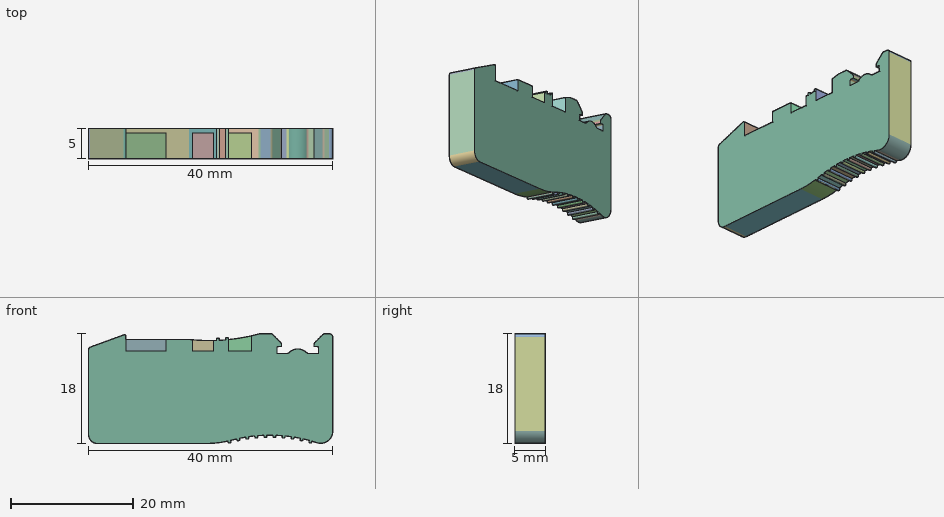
import cadquery as cq
import math

LENGTH = 40.0
THICKNESS = 5.0
HEIGHT = 18.0

NOSE_CORNER_Z = 15.71
NOSE_ANGLE = 20.0
NOSE_END_X = 6.15
NOSE_CORNER_RADIUS = 0.5
NOSE_TIP_RADIUS = 0.25
LOW_CORNER_RADIUS = 1.5

SHELF_Z = 17.06
TOP_ARC_START_X = 16.53
TOP_ARC_CENTER_X = 19.8
TOP_ARC_RADIUS = 31.0
CREST_BLEND_RADIUS = 1.0

SLOT_CENTER_X = 34.26
CREST_HALF_WIDTH = 4.23
MOUTH_HALF_WIDTH = 2.65
UNDERCUT_HALF_WIDTH = 3.39
HOOK_UNDERSIDE_Z = 15.87
SLOT_FLOOR_Z = 14.77
HOOK_EDGE_RADIUS = 0.5
UNDERCUT_CORNER_RADIUS = 0.2
BUMP_RADIUS = 2.0
BUMP_CENTER_DEPTH = 1.25
BUMP_FOOT_RADIUS = 0.5
END_TOP_RADIUS = 0.6

GRIP_CENTER_X = 29.7
GRIP_RADIUS = 24.5
GRIP_DEPTH = 1.37
GRIP_ENTRY_RADIUS = 16.0
GRIP_END_RADIUS = 2.0

RIB_WIDTH = 0.5
RIB_HEIGHT = 0.35
RIB_TIP_RADIUS = 0.2
GRIP_RIB_COUNT = 10
GRIP_RIB_PITCH_ANGLE = 3.5
TOP_RIB_CENTERS_X = (21.2, 22.69)

POCKET_SPANS = ((NOSE_END_X, 12.67), (17.0, 20.5), (22.9, 26.65))
POCKET_FLOOR_Z = 15.13
POCKET_DEPTH = 4.25

NOSE_TIP_Z = NOSE_CORNER_Z + NOSE_END_X * math.tan(math.radians(NOSE_ANGLE))
TOP_ARC_CENTER_Z = SHELF_Z + math.sqrt(TOP_ARC_RADIUS**2 - (TOP_ARC_START_X - TOP_ARC_CENTER_X) ** 2)
CREST_START_X = TOP_ARC_CENTER_X + math.sqrt(TOP_ARC_RADIUS**2 - (TOP_ARC_CENTER_Z - HEIGHT) ** 2)
HOOK_NOSE_Z = HEIGHT - (CREST_HALF_WIDTH - MOUTH_HALF_WIDTH)
BUMP_CENTER_Z = SLOT_FLOOR_Z - BUMP_CENTER_DEPTH
BUMP_HALF_WIDTH = math.sqrt(BUMP_RADIUS**2 - BUMP_CENTER_DEPTH**2)
GRIP_CENTER_Z = GRIP_DEPTH - GRIP_RADIUS
GRIP_START_X = GRIP_CENTER_X - math.sqrt(GRIP_RADIUS**2 - GRIP_CENTER_Z**2)
GRIP_END_Z = GRIP_CENTER_Z + math.sqrt(GRIP_RADIUS**2 - (LENGTH - GRIP_CENTER_X) ** 2)


def slot_sides(half_width):
    """X positions of a matching pair of points either side of the slot centre."""
    return SLOT_CENTER_X - half_width, SLOT_CENTER_X + half_width


CREST_LEFT, CREST_RIGHT = slot_sides(CREST_HALF_WIDTH)
MOUTH_LEFT, MOUTH_RIGHT = slot_sides(MOUTH_HALF_WIDTH)
UNDERCUT_LEFT, UNDERCUT_RIGHT = slot_sides(UNDERCUT_HALF_WIDTH)
BUMP_LEFT, BUMP_RIGHT = slot_sides(BUMP_HALF_WIDTH)


def extrude_across(sketch):
    """Extrude an XZ sketch from the front face (Y = 0) to the rear face."""
    return sketch.extrude(-THICKNESS)


def make_sharp_body():
    """Full-thickness body with every corner of the outline still sharp."""
    outline = (
        cq.Workplane("XZ")
        .moveTo(0, 0)
        .lineTo(0, NOSE_CORNER_Z)
        .lineTo(NOSE_END_X, NOSE_TIP_Z)
        .lineTo(NOSE_END_X, SHELF_Z)
        .lineTo(TOP_ARC_START_X, SHELF_Z)
        .threePointArc((TOP_ARC_CENTER_X, TOP_ARC_CENTER_Z - TOP_ARC_RADIUS), (CREST_START_X, HEIGHT))
        .lineTo(CREST_LEFT, HEIGHT)
        .lineTo(MOUTH_LEFT, HOOK_NOSE_Z)
        .lineTo(MOUTH_LEFT, HOOK_UNDERSIDE_Z)
        .lineTo(UNDERCUT_LEFT, HOOK_UNDERSIDE_Z)
        .lineTo(UNDERCUT_LEFT, SLOT_FLOOR_Z)
        .lineTo(BUMP_LEFT, SLOT_FLOOR_Z)
        .threePointArc((SLOT_CENTER_X, BUMP_CENTER_Z + BUMP_RADIUS), (BUMP_RIGHT, SLOT_FLOOR_Z))
        .lineTo(UNDERCUT_RIGHT, SLOT_FLOOR_Z)
        .lineTo(UNDERCUT_RIGHT, HOOK_UNDERSIDE_Z)
        .lineTo(MOUTH_RIGHT, HOOK_UNDERSIDE_Z)
        .lineTo(MOUTH_RIGHT, HOOK_NOSE_Z)
        .lineTo(CREST_RIGHT, HEIGHT)
        .lineTo(LENGTH, HEIGHT)
        .lineTo(LENGTH, GRIP_END_Z)
        .threePointArc((GRIP_CENTER_X, GRIP_DEPTH), (GRIP_START_X, 0))
        .close()
    )
    return extrude_across(outline)


def round_corners(body, radius, corners):
    """Fillet the edges running across the thickness at the given (X, Z) corners."""
    for x, z in corners:
        corner_edge = cq.selectors.NearestToPointSelector((x, THICKNESS / 2, z))
        body = body.edges("|Y").edges(corner_edge).fillet(radius)
    return body


def round_outline(body):
    """Round the corners of the outline."""
    hook_edges = (
        (CREST_LEFT, HEIGHT),
        (MOUTH_LEFT, HOOK_NOSE_Z),
        (MOUTH_RIGHT, HOOK_NOSE_Z),
        (CREST_RIGHT, HEIGHT),
    )
    undercut_corners = ((UNDERCUT_LEFT, HOOK_UNDERSIDE_Z), (UNDERCUT_RIGHT, HOOK_UNDERSIDE_Z))
    bump_feet = ((BUMP_LEFT, SLOT_FLOOR_Z), (BUMP_RIGHT, SLOT_FLOOR_Z))

    body = round_corners(body, LOW_CORNER_RADIUS, [(0, 0)])
    body = round_corners(body, NOSE_CORNER_RADIUS, [(0, NOSE_CORNER_Z)])
    body = round_corners(body, NOSE_TIP_RADIUS, [(NOSE_END_X, NOSE_TIP_Z)])
    body = round_corners(body, CREST_BLEND_RADIUS, [(CREST_START_X, HEIGHT)])
    body = round_corners(body, HOOK_EDGE_RADIUS, hook_edges)
    body = round_corners(body, UNDERCUT_CORNER_RADIUS, undercut_corners)
    body = round_corners(body, BUMP_FOOT_RADIUS, bump_feet)
    body = round_corners(body, END_TOP_RADIUS, [(LENGTH, HEIGHT)])
    body = round_corners(body, GRIP_END_RADIUS, [(LENGTH, GRIP_END_Z)])
    return round_corners(body, GRIP_ENTRY_RADIUS, [(GRIP_START_X, 0)])


def make_rib(base_x, base_z, turn):
    """Downward rib centred on a surface point, half of it buried in the body.

    The turn is in degrees, from +X toward +Z.
    """
    profile = cq.Workplane("XZ").rect(RIB_WIDTH, 2 * RIB_HEIGHT)
    rib = extrude_across(profile).edges("|Y and <Z").fillet(RIB_TIP_RADIUS)
    rib = rib.rotate((0, 0, 0), (0, -1, 0), turn)
    return rib.translate((base_x, 0, base_z))


def add_grip_ribs(body):
    """Ribs at equal angles along the grip arc, pointing at its centre."""
    for index in range(GRIP_RIB_COUNT):
        turn = (index - (GRIP_RIB_COUNT - 1) / 2) * GRIP_RIB_PITCH_ANGLE
        x = GRIP_CENTER_X + GRIP_RADIUS * math.sin(math.radians(turn))
        z = GRIP_CENTER_Z + GRIP_RADIUS * math.cos(math.radians(turn))
        body = body.union(make_rib(x, z, -turn))
    return body


def add_top_ribs(body):
    """Ribs standing on the top arc, pointing at its centre."""
    for x in TOP_RIB_CENTERS_X:
        lean = math.asin((x - TOP_ARC_CENTER_X) / TOP_ARC_RADIUS)
        z = TOP_ARC_CENTER_Z - TOP_ARC_RADIUS * math.cos(lean)
        body = body.union(make_rib(x, z, 180 + math.degrees(lean)))
    return body


def make_pocket(start_x, end_x):
    """Cutter for one pocket, reaching up past the top of the body."""
    size_x = end_x - start_x
    size_z = HEIGHT - POCKET_FLOOR_Z
    pocket = cq.Workplane("XY").box(size_x, POCKET_DEPTH, size_z, centered=False)
    return pocket.translate((start_x, 0, POCKET_FLOOR_Z))


result = round_outline(make_sharp_body())
result = add_grip_ribs(result)
result = add_top_ribs(result)
for pocket_start, pocket_end in POCKET_SPANS:
    result = result.cut(make_pocket(pocket_start, pocket_end))